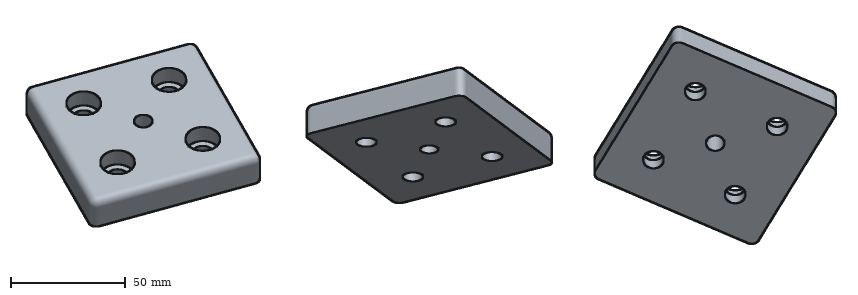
import cadquery as cq

side = 80.0
thickness = 15.0
edge_radius = 3.5

bolt_spacing = side / 2
bolt_hole_diameter = 9.0
counterbore_diameter = 15.0
counterbore_depth = 8.5
center_hole_diameter = 8.0


def rounded_plate():
    """Square plate resting on Z = 0, rounded everywhere except its bottom rim."""
    plate = cq.Workplane("XY").box(side, side, thickness, centered=(True, True, False))
    return plate.edges("|Z or >Z").fillet(edge_radius)


def add_bolt_holes(plate):
    """Four counterbored through holes on a square pattern."""
    return (
        plate.faces(">Z")
        .workplane(origin=(0, 0, thickness))
        .rarray(bolt_spacing, bolt_spacing, 2, 2)
        .cboreHole(bolt_hole_diameter, counterbore_diameter, counterbore_depth)
    )


def add_center_hole(plate):
    """Plain through hole in the middle of the plate."""
    return plate.faces(">Z").workplane(origin=(0, 0, thickness)).hole(center_hole_diameter)


result = add_center_hole(add_bolt_holes(rounded_plate()))